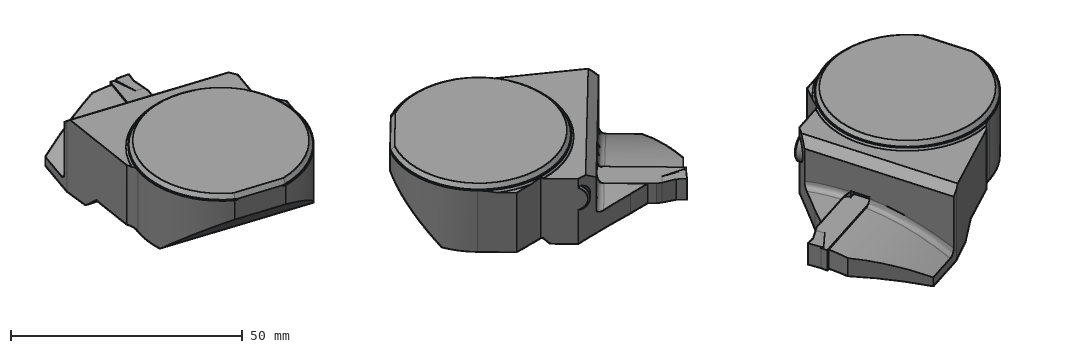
import cadquery as cq
import math


flange_radius = 20.05
flat_x = 19.1
flange_chamfer = 1.0
groove_height = 0.25
groove_depth = 0.2
flare_radius = 20.5

block_top = -1.7
block_bottom = -17.8
overall_bottom = -21.8
wall_x = -25.5
wall_chamfer_width = 2.25
wall_chamfer_height = 2.0
back_y = 14.9
front_y = -25.0
side_break_x = -24.35
side_end = (-3.2, -21.1)
side_blend_middle = (-1.9, -20.3)
back_slant_x = -21.65
relief_start_x = 7.7
step_x = -14.1

arm_tip_x = -44.05
arm_tip_y = -9.05
arm_front_x = -34.8
arm_crown = -12.8
arm_underside_crown = -18.15
arm_fillet = 1.55
back_slant_mid = (-32.75, 5.2)
back_slant_end_x = -36.5

screw_radius = 3.6
screw_chamfer = 0.45
screw_x = -20.65
screw_z = -7.1
screw_length = 7.7

insert_back_y = 1.6
insert_front_y = -4.35
insert_top = -12.75
insert_bottom = -18.4
insert_corner_radius = 1.4
insert_tail_length = 1.3
seat_top = -11.15
tip_x = -45.0
tip_back_y = 0.25
tip_rise = 0.4
chip_end_x = -39.55
chip_inner_y = -0.95
nose_step = (-42.6, tip_back_y)
nose_shoulder = (chip_end_x, 1.3)
nose_end_x = -38.3
nose_corner = (-44.75, -2.75)
chip_front = (-44.35, -3.3)
nose_front_x = -44.75


def head_outline():
    """Full-height plan of block and arm, ending on the round flange."""
    back_step = flange_radius - back_y
    back_corner_x = -8.45
    flat_y = math.sqrt(flange_radius**2 - flat_x**2)
    half_angle = math.asin(flat_y / flange_radius) / 2 + math.pi / 4
    arc_x = flange_radius * math.cos(half_angle)
    arc_y = flange_radius * math.sin(half_angle)
    return (
        cq.Workplane("XY", origin=(0, 0, overall_bottom))
        .moveTo(0, flange_radius)
        .threePointArc((arc_x, arc_y), (flat_x, flat_y))
        .lineTo(flat_x, -flat_y)
        .threePointArc((arc_x, -arc_y), (0, -flange_radius))
        .threePointArc(side_blend_middle, side_end)
        .lineTo(side_break_x, front_y)
        .lineTo(arm_front_x, front_y)
        .lineTo(arm_tip_x, arm_tip_y)
        .lineTo(arm_tip_x, insert_front_y)
        .lineTo(back_slant_end_x, insert_back_y)
        .lineTo(*back_slant_mid)
        .lineTo(back_slant_x, back_y)
        .lineTo(back_corner_x - back_step, back_y)
        .lineTo(back_corner_x, flange_radius)
        .close()
        .extrude(block_top - overall_bottom)
    )


def side_profile():
    """Stepped underside, 45-degree relief and wall chamfer, across the whole width."""
    step_depth = block_bottom - overall_bottom
    relief_height = flat_x - relief_start_x
    points = [
        (arm_tip_x, overall_bottom),
        (step_x - step_depth, overall_bottom),
        (step_x, block_bottom),
        (relief_start_x, block_bottom),
        (flat_x, block_bottom + relief_height),
        (flat_x, block_top),
        (wall_x + wall_chamfer_width, block_top),
        (wall_x, block_top - wall_chamfer_height),
        (arm_tip_x, block_top - wall_chamfer_height),
    ]
    profile = cq.Workplane("XZ").polyline(points).close()
    return profile.extrude(2 * flange_radius, both=True)


def space_above_arm():
    """Space over the curved arm; its rounded edge leaves the fillet at the wall."""
    back_end = (17.95, -15.7)
    front_end = (front_y, -19.35)
    outside_y = 2 * front_y
    space = (
        cq.Workplane("YZ", origin=(wall_x, 0, 0))
        .moveTo(*back_end)
        .threePointArc((0, arm_crown), front_end)
        .lineTo(outside_y, front_end[1])
        .lineTo(outside_y, 0)
        .lineTo(back_end[0], 0)
        .close()
        .extrude(arm_tip_x - wall_x)
    )
    nearest_crown = cq.selectors.NearestToPointSelector((wall_x, 0, arm_crown))
    return space.edges(nearest_crown).fillet(arm_fillet)


def space_below_arm():
    """Space under the cylindrical underside shared by arm and insert."""
    back_edge_z = -19.35
    return (
        cq.Workplane("YZ", origin=(tip_x, 0, 0))
        .moveTo(back_y, back_edge_z)
        .threePointArc((0, arm_underside_crown), (front_y, overall_bottom))
        .lineTo(back_y, overall_bottom)
        .close()
        .extrude(step_x - tip_x)
    )


def frustum(bottom, top, bottom_radius, top_radius):
    """Cone frustum about the flange axis."""
    lower = cq.Workplane("XY", origin=(0, 0, bottom)).circle(bottom_radius)
    return lower.workplane(offset=top - bottom).circle(top_radius).loft()


def flat_limit():
    """Space behind the +X flat, with a top edge chamfered like the round rim."""
    limit_x = -2 * flange_radius
    return (
        cq.Workplane("XZ")
        .polyline([(limit_x, block_top), (flat_x, block_top), (flat_x, -flange_chamfer),
                   (flat_x - flange_chamfer, 0), (limit_x, 0)])
        .close()
        .extrude(2 * flange_radius, both=True)
    )


def flange(head):
    """Chamfered rim, thin groove, and a flare clipped to the head outline."""
    groove_top = -flange_chamfer
    flare_top = groove_top - groove_height
    neck_radius = flange_radius - groove_depth
    rim = frustum(groove_top, 0, flange_radius, flange_radius - flange_chamfer)
    neck = cq.Workplane("XY", origin=(0, 0, flare_top)).circle(neck_radius).extrude(groove_height)
    flare = frustum(block_top, flare_top, flare_radius, flange_radius)
    footprint = head.translate((0, 0, flare_top - block_top))
    return rim.union(neck).intersect(flat_limit()).union(flare.intersect(footprint))


def screw_head():
    """Chamfered cylinder breaking out of the slanted back, flush with the back face."""
    return (
        cq.Workplane("XZ", origin=(screw_x, back_y, screw_z))
        .circle(screw_radius)
        .extrude(screw_length)
        .faces(">Y")
        .chamfer(screw_chamfer)
    )


def insert_blank(height):
    """Insert plan with its stepped nose, rounded shoulder and tail entering the wall."""
    tail_back_y = insert_back_y - insert_corner_radius
    tail_end_x = wall_x + insert_tail_length
    return (
        cq.Workplane("XY", origin=(0, 0, insert_bottom))
        .moveTo(tip_x, tip_back_y)
        .lineTo(*nose_step)
        .lineTo(*nose_shoulder)
        .lineTo(nose_end_x, insert_back_y)
        .lineTo(wall_x - insert_corner_radius, insert_back_y)
        .radiusArc((wall_x, tail_back_y), insert_corner_radius)
        .lineTo(tail_end_x, tail_back_y)
        .lineTo(tail_end_x, insert_front_y)
        .lineTo(nose_front_x, insert_front_y)
        .lineTo(*nose_corner)
        .close()
        .extrude(height)
    )


def chip_former():
    """Raised cutting corner that ramps down to the top of the insert."""
    plan = (
        cq.Workplane("XY", origin=(0, 0, insert_top))
        .polyline([(tip_x, tip_back_y), nose_corner, chip_front,
                   (chip_end_x, chip_inner_y), nose_shoulder, nose_step])
        .close()
        .extrude(tip_rise)
    )
    ramp = (
        cq.Workplane("XZ")
        .polyline([(tip_x, insert_top), (tip_x, insert_top + tip_rise), (chip_end_x, insert_top)])
        .close()
        .extrude(-insert_front_y, both=True)
    )
    return plan.intersect(ramp)


def cutting_insert():
    body = insert_blank(insert_top - insert_bottom).union(chip_former())
    return body.cut(space_below_arm())


def toolholder():
    plan = head_outline()
    head = plan.intersect(side_profile())
    head = head.cut(space_above_arm()).cut(space_below_arm())
    head = head.union(flange(plan)).union(screw_head())
    seat = insert_blank(seat_top - insert_bottom)
    return head.cut(seat)


holder = toolholder()
insert = cutting_insert()
result = cq.Compound.makeCompound([holder.solids().val(), insert.solids().val()])